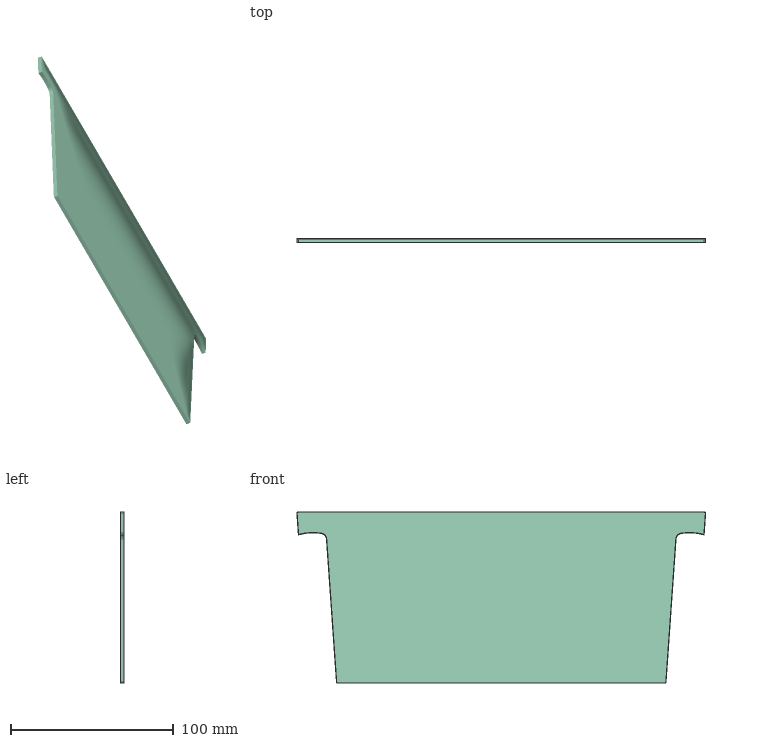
import cadquery as cq
import math

top_width = 250.8
thickness = 2.4
height = 105.0

draft_angle = 4.0
bottom_width = 202.1

lug_tip_depth = 14.0
arch_crown_depth = 12.8
arch_crown_x = 115.9
arch_end_depth = 13.8
inner_corner_radius = 3.8
outer_corner_radius = 1.0

draft_slope = math.tan(math.radians(draft_angle))
top_z = height / 2
bottom_z = -height / 2
corner_half_angle = math.radians(90 - draft_angle) / 2
top_corner_x = top_width / 2 + outer_corner_radius * (1 / math.tan(corner_half_angle) - 1)
lug_tip_x = top_corner_x - lug_tip_depth * draft_slope
arch_end_x = bottom_width / 2 + (height - arch_end_depth) * draft_slope


def make_plate():
    """Tapered plate with a lug at each upper corner, centred on the origin."""
    lug_tip_z = top_z - lug_tip_depth
    arch_crown_z = top_z - arch_crown_depth
    arch_end_z = top_z - arch_end_depth
    return (
        cq.Workplane("XZ")
        .moveTo(-top_corner_x, top_z)
        .lineTo(top_corner_x, top_z)
        .lineTo(lug_tip_x, lug_tip_z)
        .threePointArc((arch_crown_x, arch_crown_z), (arch_end_x, arch_end_z))
        .lineTo(bottom_width / 2, bottom_z)
        .lineTo(-bottom_width / 2, bottom_z)
        .lineTo(-arch_end_x, arch_end_z)
        .threePointArc((-arch_crown_x, arch_crown_z), (-lug_tip_x, lug_tip_z))
        .close()
        .extrude(thickness / 2, both=True)
    )


def round_corner_pair(plate, corner_x, corner_z, radius):
    """Round the edges through the thickness at one height on both sides of the plate."""
    reach = 0.5
    for x in (-corner_x, corner_x):
        corner = cq.selectors.BoxSelector(
            (x - reach, -thickness, corner_z - reach),
            (x + reach, thickness, corner_z + reach),
        )
        plate = plate.edges("|Y").edges(corner).fillet(radius)
    return plate


result = make_plate()
result = round_corner_pair(result, arch_end_x, top_z - arch_end_depth, inner_corner_radius)
result = round_corner_pair(result, top_corner_x, top_z, outer_corner_radius)
result = round_corner_pair(result, bottom_width / 2, bottom_z, outer_corner_radius)